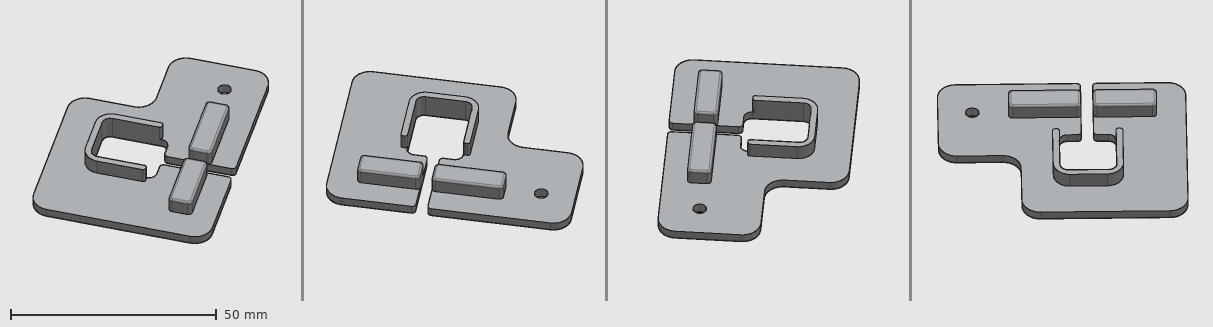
import cadquery as cq

width = 45.05
length = 60.4
plate_height = 2.6
total_height = 6.6
corner_radius = 4.45
bottom_round = 0.5

step_width = 20.0
step_y = 40.4

window_left = 10.65
window_right = 27.05
window_height = 13.85
window_radius = 2.0
slot_y = 24.1
slot_height = 2.95
slot_radius = 0.95

wall_thickness = 1.65
wall_outer_radius = 4.0
wall_end_round = 0.6

block_left = 33.15
block_width = 5.8
upper_block_length = 17.6
lower_block_length = 15.4
block_corner_radius = 0.95
block_top_round = 0.55

hole_diameter = 3.2
hole_x = 35.2
hole_y = 52.0

rise = total_height - plate_height


def box(x, y, z, size_x, size_y, size_z):
    """Box placed by its lowest corner."""
    return cq.Workplane("XY").box(size_x, size_y, size_z, centered=False).translate((x, y, z))


def make_plate_blank():
    """L-shaped plate with rounded corners."""
    outline = [
        (0, 0),
        (width, 0),
        (width, length),
        (step_width, length),
        (step_width, step_y),
        (0, step_y),
    ]
    blank = cq.Workplane("XY").polyline(outline).close().extrude(plate_height)
    return blank.edges("|Z").fillet(corner_radius)


def make_opening():
    """Rounded window joined to the slot, through the whole part."""
    window = box(
        window_left, slot_y - window_height / 2, 0,
        window_right - window_left, window_height, total_height,
    )
    return window.edges("|Z").fillet(window_radius)


def cut_slot(plate):
    """Cut the slot from the window to the right edge and round its four corners."""
    slot_start = window_right - window_radius
    slot = box(slot_start, slot_y - slot_height / 2, 0, width - slot_start, slot_height, plate_height)
    slot_corners = cq.selectors.BoxSelector(
        (slot_start, slot_y - slot_height, 0),
        (width + slot_radius, slot_y + slot_height, plate_height),
    )
    return plate.cut(slot).edges("|Z").edges(slot_corners).fillet(slot_radius)


def make_plate(opening):
    """Plate with the window and slot cut, its bottom rim rounded all the way, then the hole."""
    plate = cut_slot(make_plate_blank().cut(opening))
    plate = plate.faces("<Z").edges().fillet(bottom_round)
    hole = cq.Workplane("XY").center(hole_x, hole_y).circle(hole_diameter / 2).extrude(plate_height)
    return plate.cut(hole)


def make_wall(opening):
    """Wall that follows the window and ends where its right corners begin."""
    wall_left = window_left - wall_thickness
    wall_width = window_right - window_radius - wall_left
    wall_height = window_height + 2 * wall_thickness
    wall = box(wall_left, slot_y - wall_height / 2, plate_height, wall_width, wall_height, rise)
    wall = wall.edges("|Z and <X").fillet(wall_outer_radius).cut(opening)
    return wall.faces(">X").edges("|Z").fillet(wall_end_round)


def make_block(y, block_length):
    """Raised block with rounded upright corners and a rounded top rim."""
    block = box(block_left, y, plate_height, block_width, block_length, rise)
    return block.edges("|Z").fillet(block_corner_radius).faces(">Z").edges().fillet(block_top_round)


opening = make_opening()
upper_block = make_block(slot_y + slot_height / 2, upper_block_length)
lower_block = make_block(slot_y - slot_height / 2 - lower_block_length, lower_block_length)

result = make_plate(opening).union(make_wall(opening)).union(upper_block).union(lower_block)